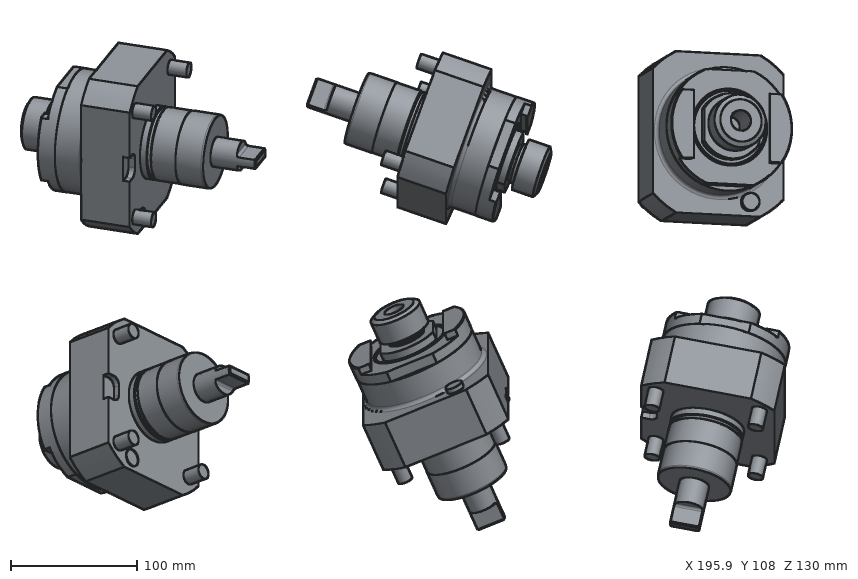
import cadquery as cq
import math


nose_end = 19.8
neck_step = 23.1
lug_front = 25.5
disc_front = 31.3
disc_back = 40.2
plate_front = 63.7
plate_back = 104.5
groove_start = 110.0
groove_end = 113.8
pilot_start = 134.4
spigot_end = 157.7
shaft_end = 179.5
overall_length = 195.9

nose_radius = 21.2
nose_chamfer_length = 2.4
nose_chamfer_height = 4.1
neck_radius = 16.3
neck_relief_radius = 15.0
bore_radius = 8.2
flatted_ring_radius = 26.2
flatted_ring_width = 45.5

collar_radius = 49.7
disc_radius = 50.0
collar_fillet = 3.1
disc_height = 91.7
lug_height = 54.8
lug_gap = 62.7
lug_lip = 1.2
lug_undercut = 1.4
lug_chamfer = 0.5
recess_radius = 31.0
recess_depth = 0.4
recess_floor_radius = 29.4
recess_floor_depth = 0.8

plate_width = 108.0
plate_height = 130.0
plate_corner_radius = 73.8

notch_height = 20.8
notch_length = 5.5
notch_depth = 12.7
notch_corner_radius = 6.5

pin_radius = 6.0
pin_end = 120.5
pin_y = 42.0
pin_z = 46.8
dowel_radius = 7.0
dowel_y = -25.9
dowel_z = -53.9
dowel_front = 59.5
dowel_back = 105.2

spigot_radius = 29.5
spigot_pilot_radius = 29.8
spigot_chamfer_length = 1.8
spigot_chamfer_height = 0.4
seal_radius = 1.47
seal_outer_radius = 29.4
shaft_diameter = 24.0
shaft_radius = shaft_diameter / 2
tang_chamfer = 1.0
tang_thickness = 7.8
tang_fillet = 2.2


def disc(start, end, radius, y=0.0, z=0.0):
    """Cylinder along X between two stations."""
    return cq.Workplane("YZ", origin=(start, y, z)).circle(radius).extrude(end - start)


def block(start, end, width, height):
    """Box between two X stations, centred on the axis."""
    return cq.Workplane("YZ", origin=(start, 0, 0)).rect(width, height).extrude(end - start)


def nose():
    """Chamfered nose, stepped neck and a ring with two flats."""
    nose_root = disc_front + recess_floor_depth
    profile = [
        (0, 0),
        (0, nose_radius - nose_chamfer_height),
        (nose_chamfer_length, nose_radius),
        (nose_end, nose_radius),
        (nose_end, neck_radius),
        (neck_step, neck_radius),
        (neck_step, neck_relief_radius),
        (nose_root, neck_relief_radius),
        (nose_root, 0),
    ]
    turned = cq.Workplane("XY").polyline(profile).close().revolve(360, (0, 0), (1, 0))
    ring = disc(lug_front, nose_root, flatted_ring_radius)
    ring = ring.intersect(block(lug_front, nose_root, flatted_ring_width, 2 * flatted_ring_radius))
    return turned.union(ring)


def lugs():
    """Two lugs left by a wide channel, which is undercut behind a thin lip."""
    rim = disc(lug_front, disc_front, disc_radius).faces("<X").chamfer(lug_chamfer)
    rim = rim.intersect(block(lug_front, disc_front, 2 * disc_radius, lug_height))
    channel = block(lug_front, disc_front, lug_gap, lug_height)
    undercut = block(lug_front + lug_lip, disc_front, lug_gap + 2 * lug_undercut, lug_height)
    return rim.cut(channel).cut(undercut)


def collar():
    """Disc with two flats and a shallow stepped recess, on a round body filleted into the plate."""
    front_disc = disc(disc_front, disc_back, disc_radius)
    front_disc = front_disc.intersect(block(disc_front, disc_back, 2 * disc_radius, disc_height))
    recess = disc(disc_front, disc_front + recess_depth, recess_radius)
    recess_floor = disc(disc_front, disc_front + recess_floor_depth, recess_floor_radius)
    fillet_mid = collar_fillet * (1 - math.sqrt(0.5))
    body = (
        cq.Workplane("XY")
        .moveTo(disc_back, 0)
        .lineTo(disc_back, collar_radius)
        .lineTo(plate_front - collar_fillet, collar_radius)
        .threePointArc(
            (plate_front - fillet_mid, collar_radius + fillet_mid),
            (plate_front, collar_radius + collar_fillet),
        )
        .lineTo(plate_front, 0)
        .close()
        .revolve(360, (0, 0), (1, 0))
    )
    return front_disc.cut(recess).cut(recess_floor).union(body)


def key_notch():
    """Pocket open to the -Y side and the back of the plate, rounded at its inner corners."""
    inner_y = -plate_width / 2 + notch_depth
    return (
        cq.Workplane("XY")
        .box(notch_length, 2 * notch_depth, notch_height)
        .edges("|X and >Y")
        .fillet(notch_corner_radius)
        .translate((plate_back - notch_length / 2, inner_y - notch_depth, 0))
    )


def plate():
    body = block(plate_front, plate_back, plate_width, plate_height)
    body = body.intersect(disc(plate_front, plate_back, plate_corner_radius))
    return body.cut(key_notch())


def pins():
    group = disc(dowel_front, dowel_back, dowel_radius, dowel_y, dowel_z)
    for y in (-pin_y, pin_y):
        for z in (-pin_z, pin_z):
            group = group.union(disc(plate_front, pin_end, pin_radius, y, z))
    return group


def spigot():
    """Spigot with a slightly wider pilot at its end and a sealing ring in a groove near its root."""
    groove_floor = seal_outer_radius - seal_radius
    seal_end = groove_start + 2 * seal_radius
    return (
        cq.Workplane("XY")
        .moveTo(plate_back, 0)
        .lineTo(plate_back, spigot_radius)
        .lineTo(groove_start, spigot_radius)
        .lineTo(groove_start, groove_floor)
        .threePointArc((groove_start + seal_radius, seal_outer_radius), (seal_end, groove_floor))
        .lineTo(groove_end, groove_floor)
        .lineTo(groove_end, spigot_radius)
        .lineTo(pilot_start, spigot_radius)
        .lineTo(pilot_start, spigot_pilot_radius)
        .lineTo(spigot_end - spigot_chamfer_length, spigot_pilot_radius)
        .lineTo(spigot_end, spigot_pilot_radius - spigot_chamfer_height)
        .lineTo(spigot_end, 0)
        .close()
        .revolve(360, (0, 0), (1, 0))
    )


def drive_shaft():
    """Round shaft milled on both sides to a flat tang with filleted roots."""
    rod = disc(spigot_end, overall_length, shaft_radius)
    cut_length = overall_length - shaft_end
    for side in (-1, 1):
        mill = (
            cq.Workplane("XY")
            .box(2 * cut_length, 2 * shaft_radius, shaft_radius)
            .edges("|Y and <X and " + ("<Z" if side > 0 else ">Z"))
            .fillet(tang_fillet)
            .translate((overall_length, 0, side * (tang_thickness + shaft_radius) / 2))
        )
        rod = rod.cut(mill)
    return rod.faces(">X").chamfer(tang_chamfer)


result = nose()
for section in (lugs(), collar(), plate(), pins(), spigot(), drive_shaft()):
    result = result.union(section)
result = result.cut(disc(0, disc_front, bore_radius))